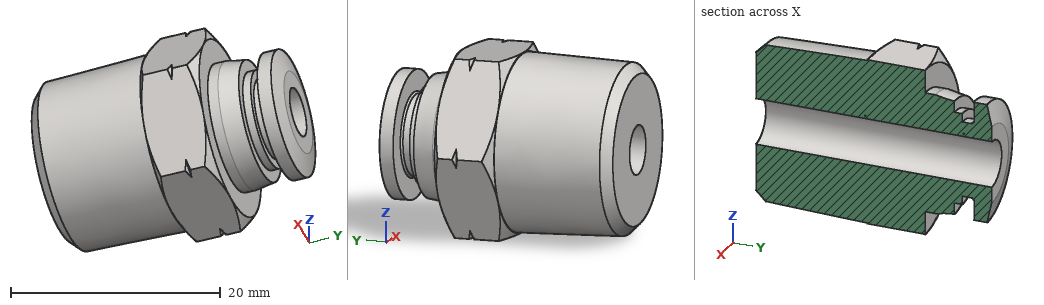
import cadquery as cq
import math


bore_diameter = 4.8

thread_length = 11.52
thread_chamfer = 1.0
thread_tip_radius = 8.35
thread_taper = 1 / 16
thread_root_radius = thread_tip_radius + (thread_length - thread_chamfer) * thread_taper / 2

hex_across_flats = 17.47
hex_length = 6.0
hex_chamfer_angle = 30
hex_across_corners = hex_across_flats / math.cos(math.radians(30))
hex_end = thread_length + hex_length

groove_y = 15.03
groove_depth = 0.5
groove_width = 0.54

collar_radius = 12.7 / 2
collar_nose_radius = 6.03
collar_foot_end = hex_end + 1.02
collar_end = collar_foot_end + 2.0

shoulder_radius = 9.7 / 2
shoulder_end = collar_end + 0.8
neck_radius = 7.95 / 2
neck_flare = 0.2
flange_radius = 12.6 / 2
flange_top_radius = 4.05
flange_start = 22.52
flange_edge_end = 23.9
total_length = 24.4


def revolve_profile(points):
    """Turn a closed (radius, Y) profile around the Y axis."""
    return cq.Workplane("XY").polyline(points).close().revolve(360, (0, 0, 0), (0, 1, 0))


def make_hexagon():
    """Hexagon with corners on X, both ends chamfered conically, corners notched."""
    prism = (
        cq.Workplane("XZ", origin=(0, thread_length, 0))
        .polygon(6, hex_across_corners)
        .extrude(-hex_length)
    )
    flat_radius = hex_across_flats / 2
    corner_radius = hex_across_corners / 2
    chamfer_slope = math.tan(math.radians(hex_chamfer_angle))
    envelope_radius = corner_radius + 0.25
    chamfer_height = (envelope_radius - flat_radius) * chamfer_slope
    envelope = revolve_profile([
        (0, thread_length),
        (flat_radius, thread_length),
        (envelope_radius, thread_length + chamfer_height),
        (envelope_radius, hex_end - chamfer_height),
        (flat_radius, hex_end),
        (0, hex_end),
    ])
    groove_reach = 2 * groove_depth
    groove_bottom_radius = corner_radius - groove_depth
    groove = revolve_profile([
        (groove_bottom_radius, groove_y),
        (groove_bottom_radius + groove_reach, groove_y - groove_width),
        (groove_bottom_radius + groove_reach, groove_y + groove_width),
    ])
    return prism.intersect(envelope).cut(groove)


def make_thread_body():
    return revolve_profile([
        (0, 0),
        (thread_tip_radius - thread_chamfer, 0),
        (thread_tip_radius, thread_chamfer),
        (thread_root_radius, thread_length),
        (0, thread_length),
    ])


def make_tube_end():
    """Collar and release button on the far side of the hexagon."""
    return revolve_profile([
        (0, hex_end),
        (collar_radius, hex_end),
        (collar_radius, collar_foot_end),
        (collar_nose_radius, collar_end),
        (shoulder_radius, collar_end),
        (shoulder_radius, shoulder_end),
        (neck_radius, shoulder_end),
        (neck_radius, flange_start - neck_flare),
        (neck_radius + neck_flare, flange_start),
        (flange_radius, flange_start),
        (flange_radius, flange_edge_end),
        (flange_top_radius, total_length),
        (0, total_length),
    ])


bore = cq.Workplane("XZ").circle(bore_diameter / 2).extrude(-total_length)

result = make_thread_body().union(make_hexagon()).union(make_tube_end()).cut(bore)